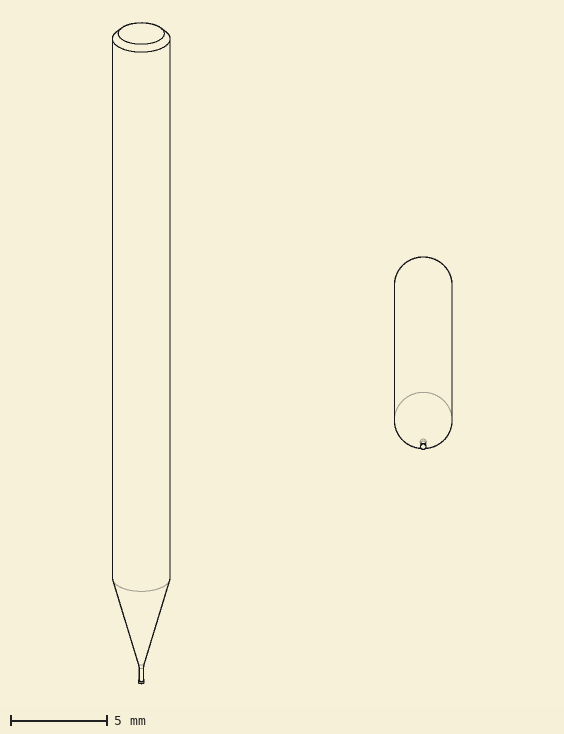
import cadquery as cq

total_length = 38.0
shank_diameter = 3.0
shank_chamfer = 0.3

head_diameter = 0.3
head_height = 0.1

neck_diameter = 0.23
neck_top = 0.87
flare_diameter = 0.323
flare_top = 1.1

shank_bottom = 6.1

shank_radius = shank_diameter / 2
head_radius = head_diameter / 2
neck_radius = neck_diameter / 2
flare_radius = flare_diameter / 2

half_outline = (
    cq.Workplane("XZ")
    .lineTo(head_radius, 0)
    .lineTo(head_radius, head_height)
    .lineTo(neck_radius, head_height)
    .lineTo(neck_radius, neck_top)
    .lineTo(flare_radius, flare_top)
    .lineTo(shank_radius, shank_bottom)
    .lineTo(shank_radius, total_length - shank_chamfer)
    .lineTo(shank_radius - shank_chamfer, total_length)
    .lineTo(0, total_length)
    .close()
)

result = half_outline.revolve(360, (0, 0, 0), (0, 1, 0))